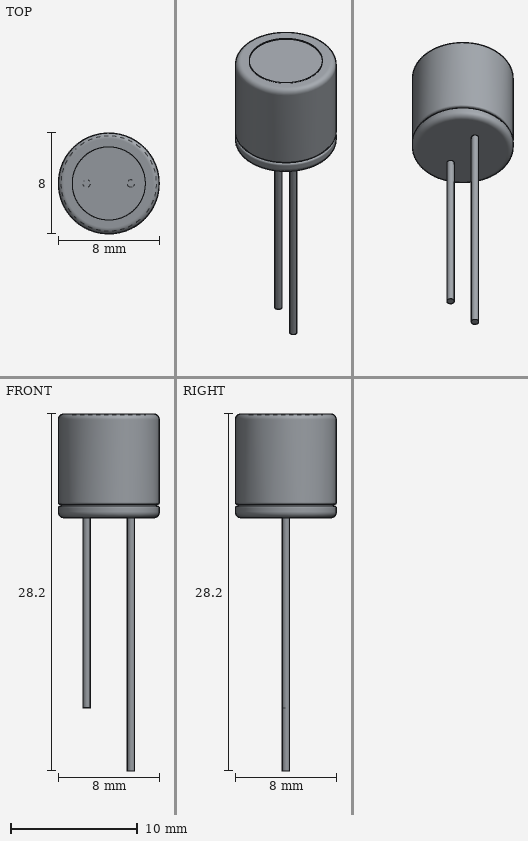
import cadquery as cq
import math

CAN_DIAMETER = 8.0
CAN_HEIGHT = 8.2
RIM_ROUND = 0.45

RECESS_DIAMETER = 5.79
RECESS_DEPTH = 0.08

GROOVE_DIAMETER = 7.53
GROOVE_CENTER_HEIGHT = 1.0
GROOVE_SLOT_WIDTH = 0.15
GROOVE_LIP_ROUND = 0.15

OVERALL_HEIGHT = 28.22
LEAD_DIAMETER = 0.6
LEAD_SPACING = 3.5
LONG_LEAD_LENGTH = OVERALL_HEIGHT - CAN_HEIGHT
SHORT_LEAD_LENGTH = 15.0


def make_can_blank():
    """Plain cylinder standing on Z = 0, with both rims rounded."""
    blank = cq.Workplane("XY").circle(CAN_DIAMETER / 2).extrude(CAN_HEIGHT)
    return blank.faces("<Z or >Z").edges().fillet(RIM_ROUND)


def make_groove_cutter():
    """Ring of the groove's section: a slot whose mouth is a quarter-round lip on each side."""
    wall = CAN_DIAMETER / 2
    lip_end = wall - GROOVE_LIP_ROUND
    floor = GROOVE_DIAMETER / 2

    slot_edge = GROOVE_SLOT_WIDTH / 2
    wall_edge = slot_edge + GROOVE_LIP_ROUND

    lip_offset = GROOVE_LIP_ROUND * math.sin(math.radians(45))
    mid_radius = lip_end + lip_offset
    mid_edge = wall_edge - lip_offset

    section = (
        cq.Workplane("XZ", origin=(0, 0, GROOVE_CENTER_HEIGHT))
        .moveTo(wall, -wall_edge)
        .threePointArc((mid_radius, -mid_edge), (lip_end, -slot_edge))
        .lineTo(floor, -slot_edge)
        .lineTo(floor, slot_edge)
        .lineTo(lip_end, slot_edge)
        .threePointArc((mid_radius, mid_edge), (wall, wall_edge))
        .close()
    )
    return section.revolve(360, (0, 0, 0), (0, 1, 0))


def make_can():
    """Can with the groove near its base and the recess in its top."""
    can = make_can_blank().cut(make_groove_cutter())
    return can.faces(">Z").workplane().circle(RECESS_DIAMETER / 2).cutBlind(-RECESS_DEPTH)


def make_lead(x, length):
    """Round lead hanging from the underside of the can."""
    return cq.Workplane("XY").center(x, 0).circle(LEAD_DIAMETER / 2).extrude(-length)


can = make_can()

lead_layout = [
    (-LEAD_SPACING / 2, SHORT_LEAD_LENGTH),
    (LEAD_SPACING / 2, LONG_LEAD_LENGTH),
]
leads = []
for lead_x, lead_length in lead_layout:
    leads.append(make_lead(lead_x, lead_length).val())

result = cq.Compound.makeCompound([*can.solids().vals(), *leads])